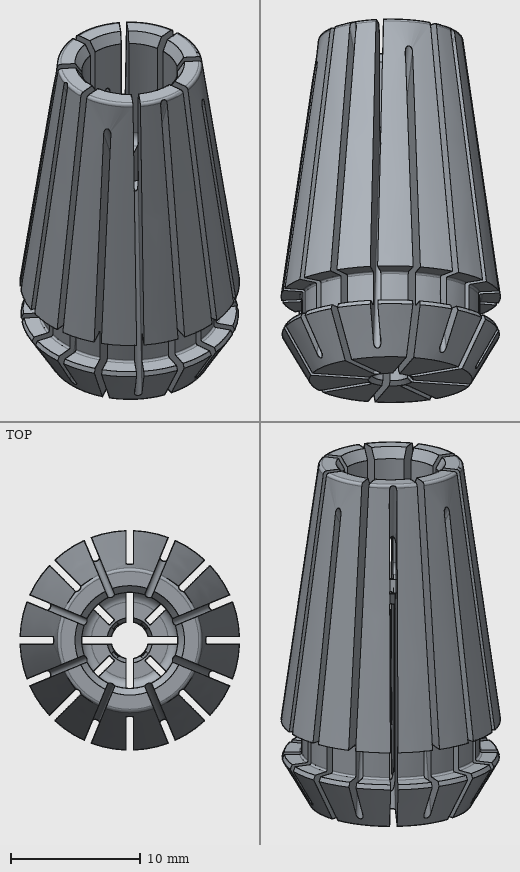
import cadquery as cq
import math


total_height = 27.5
head_height = 4.02
head_bevel_height = 0.35
taper_bottom = 6.68
bore_floor = 17.5

taper_radius = 8.5
head_radius = 8.42
head_top_radius = 8.25
neck_radius = 6.9
taper_angle = 8.0
head_angle = 30.0

rim_fillet = 0.28
neck_fillet = 0.16

bore_radius = 3.7
bore_floor_fillet = 0.75
bore_chamfer_width = 0.52
bore_chamfer_depth = 0.82
hole_radius = 1.43
hole_flare = 0.33
hole_flare_depth = 1.38

slit_width = 0.58
slit_reach = 2 * total_height
cross_slit_count = 4
diagonal_slit_count = 4
top_slit_count = 8
cross_slit_angle = 60.0
diagonal_slit_angle = 69.0
top_slit_angle = 80.0
cross_slit_top = 25.22
diagonal_slit_top = 27.55
diagonal_slit_foot_radius = 1.82
diagonal_slit_foot_angle = 74.0
lip_radius = 1.95
lip_angle = 66.0
top_slit_foot = 0.6


def taper_radius_at(height):
    """Radius of the long outer taper at a given height."""
    return taper_radius - (height - taper_bottom) * math.tan(math.radians(taper_angle))


def head_radius_at(height):
    """Radius of the steep cone under the head at a given height."""
    below_edge = head_height - head_bevel_height - height
    return head_radius - below_edge * math.tan(math.radians(head_angle))


def make_body():
    """Head, neck and long taper as one turned blank."""
    outline = [
        (0, 0),
        (head_radius_at(0), 0),
        (head_radius, head_height - head_bevel_height),
        (head_top_radius, head_height),
        (neck_radius, head_height),
        (neck_radius, taper_bottom),
        (taper_radius, taper_bottom),
        (taper_radius_at(total_height), total_height),
        (0, total_height),
    ]
    body = cq.Workplane("XZ").polyline(outline).close().revolve(360, (0, 0), (0, 1))
    body = body.faces(">Z").edges().fillet(rim_fillet)
    neck_zone = cq.selectors.BoxSelector(
        (-neck_radius, -neck_radius, head_height - neck_fillet),
        (neck_radius, neck_radius, taper_bottom + neck_fillet),
    )
    smallest_circles = cq.selectors.RadiusNthSelector(0)
    neck_corners = body.edges("%CIRCLE").edges(neck_zone).edges(smallest_circles)
    return neck_corners.fillet(neck_fillet)


def make_bore():
    """Wide upper bore with a rounded floor, and the small clamping hole below, flared at both ends."""
    bore = (
        cq.Workplane("XY", origin=(0, 0, bore_floor))
        .circle(bore_radius)
        .extrude(total_height - bore_floor)
        .faces("<Z").edges().fillet(bore_floor_fillet)
    )
    mouth = cq.Workplane(cq.Solid.makeCone(
        bore_radius, bore_radius + bore_chamfer_width, bore_chamfer_depth,
        cq.Vector(0, 0, total_height - bore_chamfer_depth),
    ))
    hole = cq.Workplane("XY").circle(hole_radius).extrude(bore_floor)
    hole_mouth = cq.Workplane(cq.Solid.makeCone(
        hole_radius, hole_radius + hole_flare, hole_flare_depth,
        cq.Vector(0, 0, bore_floor - hole_flare_depth),
    ))
    hole_exit = cq.Workplane(cq.Solid.makeCone(
        hole_radius + hole_flare, hole_radius, hole_flare
    ))
    return bore.union(mouth).union(hole).union(hole_mouth).union(hole_exit)


def slit_cutter(radius, height, slope, opens_up):
    """Slab in the XZ plane whose round closed end runs along a sloped line.

    The line passes through (radius, height) at `slope` degrees from the X axis,
    and the slab lies on the outer side of it, opening upward or downward.
    """
    angle = math.radians(slope)
    rise = -math.sin(angle) if opens_up else math.sin(angle)
    along = cq.Vector(math.cos(angle), 0, rise)
    into_slit = cq.Vector(abs(rise), 0, math.cos(angle) if opens_up else -math.cos(angle))
    end_plane = cq.Plane(origin=(radius, 0, height), xDir=into_slit, normal=along)
    half = slit_width / 2
    return (
        cq.Workplane(end_plane)
        .moveTo(slit_reach, half)
        .lineTo(half, half)
        .threePointArc((0, 0), (half, -half))
        .lineTo(slit_reach, -half)
        .close()
        .extrude(slit_reach, both=True)
    )


def cut_around(body, cutter, count, start_angle):
    """Cut the same slit at equal spacing around the axis."""
    spacing = 360 / count
    for index in range(count):
        body = body.cut(cutter.rotate((0, 0, 0), (0, 0, 1), start_angle + index * spacing))
    return body


cross_slit = slit_cutter(taper_radius_at(cross_slit_top), cross_slit_top, cross_slit_angle, False)

diagonal_slit = slit_cutter(
    taper_radius_at(diagonal_slit_top), diagonal_slit_top, diagonal_slit_angle, False
).intersect(slit_cutter(diagonal_slit_foot_radius, 0, diagonal_slit_foot_angle, True))

lip_depth = lip_radius * math.tan(math.radians(lip_angle))
lip = (
    cq.Workplane("XZ")
    .polyline([(0, bore_floor), (lip_radius, bore_floor), (0, bore_floor - lip_depth)])
    .close()
    .extrude(slit_width, both=True)
)
diagonal_slit = diagonal_slit.cut(lip)

top_slit = slit_cutter(head_radius_at(top_slit_foot), top_slit_foot, top_slit_angle, True)

result = make_body().cut(make_bore())
result = cut_around(result, cross_slit, cross_slit_count, 0)
result = cut_around(result, diagonal_slit, diagonal_slit_count, 180 / cross_slit_count)
result = cut_around(result, top_slit, top_slit_count, 180 / top_slit_count)